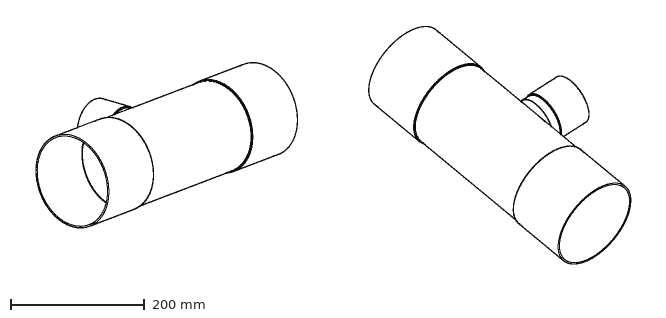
import cadquery as cq

main_length = 430.0
main_body_diameter = 142.0
main_socket_diameter = 145.0
main_bore_diameter = 139.7
main_socket_length = 103.0

overall_width = 215.0
branch_root_diameter = 76.0
branch_neck_diameter = 78.0
branch_socket_diameter = 81.0
branch_bore_diameter = 76.0
branch_socket_length = 56.0
branch_neck_length = 14.0

socket_chamfer = 1.0

main_end = main_length / 2
main_socket_start = main_end - main_socket_length
branch_end = overall_width - main_socket_diameter / 2
branch_socket_start = branch_end - branch_socket_length
branch_neck_start = branch_socket_start - branch_neck_length

ORIGIN = cq.Vector(0, 0, 0)
MAIN_FRONT = cq.Vector(0, -1, 0)
MAIN_BACK = cq.Vector(0, 1, 0)
BRANCH_OUT = cq.Vector(-1, 0, 0)


def cylinder(diameter, direction, start, end):
    """Cylinder along a direction from the origin, between two distances."""
    base = ORIGIN + direction * start
    return cq.Workplane(cq.Solid.makeCylinder(diameter / 2, end - start, base, direction))


def socket(diameter, direction, start, end):
    """Socket body with its inner outside edge bevelled."""
    body = cylinder(diameter, direction, start, end)
    inner_face = cq.DirectionMinMaxSelector(direction, False)
    return body.faces(inner_face).edges().chamfer(socket_chamfer)


def make_main_pipe():
    """Closed centre section with a blind socket at each end."""
    pipe = cylinder(main_body_diameter, MAIN_BACK, -main_socket_start, main_socket_start)
    for direction in (MAIN_FRONT, MAIN_BACK):
        pipe = pipe.union(socket(main_socket_diameter, direction, main_socket_start, main_end))
        pipe = pipe.cut(cylinder(main_bore_diameter, direction, main_socket_start, main_end))
    return pipe


def make_branch():
    """Root, neck and blind socket, each wider than the one before."""
    branch = cylinder(branch_root_diameter, BRANCH_OUT, 0, branch_neck_start)
    branch = branch.union(cylinder(branch_neck_diameter, BRANCH_OUT, branch_neck_start, branch_socket_start))
    branch = branch.union(socket(branch_socket_diameter, BRANCH_OUT, branch_socket_start, branch_end))
    return branch.cut(cylinder(branch_bore_diameter, BRANCH_OUT, branch_socket_start, branch_end))


result = make_main_pipe().union(make_branch())